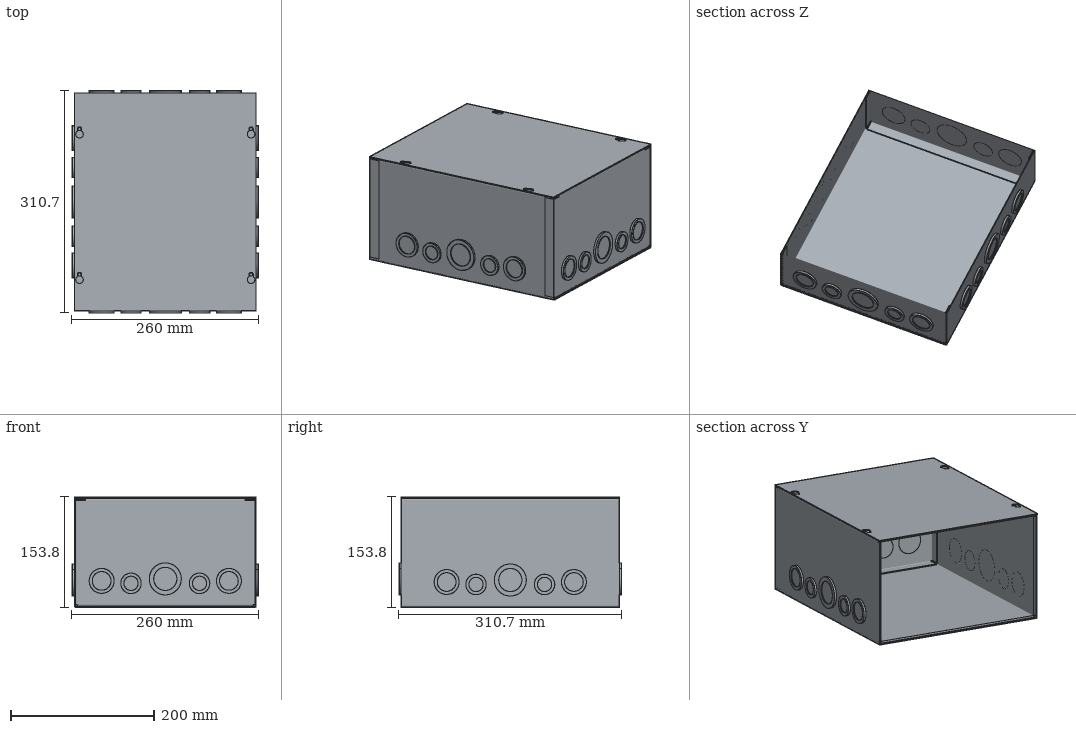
import cadquery as cq


boss_height = 3.0
box_width = 260.0 - 2 * boss_height
box_length = 310.7 - 2 * boss_height
total_height = 153.8
sheet = 1.5
bend_outer = 2.33
flange_width = 15.0

bend_inner = bend_outer - sheet
body_height = total_height - sheet
inner_width = box_width - 2 * sheet
lip_gap = box_width - 2 * flange_width
lip_underside = body_height - sheet

centre_knockout = (0.0, 38.2, 22.5, 16.2)
side_knockouts = [(48.0, 32.0, 14.3, 10.0), (89.0, 35.5, 17.5, 13.0)]
mirrored_knockouts = [(-offset, *sizes) for offset, *sizes in side_knockouts]
knockouts = [centre_knockout, *side_knockouts, *mirrored_knockouts]
recess_depth = 1.5

screw_edge_distance = 7.0
screw_x = box_width / 2 - screw_edge_distance
screw_y = 101.5
screw_places = [(x, y) for x in (-screw_x, screw_x) for y in (-screw_y, screw_y)]
keyhole_slot_radius = 3.0
keyhole_head_radius = 5.3
keyhole_head_drop = 7.0
lip_hole_radius = 2.2


def block(x_size, y_size, z_low, z_high):
    """Box centred in X and Y between two heights."""
    base = cq.Workplane("XY").workplane(offset=z_low)
    return base.rect(x_size, y_size).extrude(z_high - z_low)


def add_knockouts(body, normal, along, distance, sheet_base):
    """Raised discs with a recessed centre on the wall at `distance` along `normal`."""
    for offset, height, outer_radius, inner_radius in knockouts:
        origin = normal * distance + along * offset + cq.Vector(0, 0, sheet_base + height)
        wall = cq.Workplane(cq.Plane(origin, along, normal))
        boss = wall.circle(outer_radius).extrude(boss_height)
        recess_floor = wall.workplane(offset=boss_height - recess_depth)
        recess = recess_floor.circle(inner_radius).extrude(recess_depth)
        body = body.union(boss.cut(recess))
    return body


def make_body():
    """Base and two sides bent from one sheet, with a lip turned in along each top edge."""
    outer = block(box_width, box_length, 0, body_height).edges("|Y").fillet(bend_outer)
    cavity = block(inner_width, box_length, sheet, lip_underside).edges("|Y").fillet(bend_inner)
    opening = block(lip_gap, box_length, body_height / 2, body_height)
    body = outer.cut(cavity).cut(opening)
    lip_holes = (
        cq.Workplane("XY").workplane(offset=lip_underside)
        .pushPoints(screw_places).circle(lip_hole_radius).extrude(sheet)
    )
    body = body.cut(lip_holes)
    for side in (-1, 1):
        body = add_knockouts(body, cq.Vector(side, 0, 0), cq.Vector(0, 1, 0), box_width / 2, 0)
    return body


def bent_channel(x_size, z_low, z_high, x_hollow, hollow_low, hollow_high, bend_axis):
    """Front wall with two flanges bent back about lines parallel to `bend_axis`."""
    front = -box_length / 2
    outer = block(x_size, flange_width, z_low, z_high).translate((0, front + flange_width / 2, 0))
    outer = outer.edges(f"|{bend_axis} and <Y").fillet(bend_outer)
    hollow = block(x_hollow, flange_width, hollow_low, hollow_high)
    hollow = hollow.translate((0, front + sheet + flange_width / 2, 0))
    hollow = hollow.edges(f"|{bend_axis} and <Y").fillet(bend_inner)
    return outer.cut(hollow)


def make_front_plate():
    """Front wall with four flanges bent back inside the body; the corners stay open."""
    flat_width = inner_width - 2 * bend_outer
    flat_low = sheet + bend_outer
    flat_high = body_height - bend_outer
    side_flanges = bent_channel(
        inner_width, flat_low, flat_high, inner_width - 2 * sheet, flat_low, flat_high, "Z"
    )
    end_flanges = bent_channel(
        flat_width, sheet, body_height, flat_width, 2 * sheet, lip_underside, "X"
    )

    top_band = block(box_width, box_length, flat_high, body_height)
    between_lips = block(lip_gap, box_length, flat_high, body_height)
    end_flanges = end_flanges.cut(top_band.cut(between_lips))

    plate = side_flanges.union(end_flanges)
    return add_knockouts(plate, cq.Vector(0, -1, 0), cq.Vector(1, 0, 0), box_length / 2, sheet)


def make_cover():
    """Flat sheet on top of the lips with four keyholes."""
    cover = block(box_width, box_length, body_height, total_height)
    level = cq.Workplane("XY").workplane(offset=body_height)
    heads = [(x, y - keyhole_head_drop) for x, y in screw_places]
    necks = [(x, y - keyhole_head_drop / 2) for x, y in screw_places]
    neck_width = 2 * keyhole_slot_radius
    cover = cover.cut(level.pushPoints(screw_places).circle(keyhole_slot_radius).extrude(sheet))
    cover = cover.cut(level.pushPoints(necks).rect(neck_width, keyhole_head_drop).extrude(sheet))
    return cover.cut(level.pushPoints(heads).circle(keyhole_head_radius).extrude(sheet))


body = make_body()
front_plate = make_front_plate()
rear_plate = front_plate.mirror("XZ")
cover = make_cover()

result = cq.Compound.makeCompound([body.val(), front_plate.val(), rear_plate.val(), cover.val()])